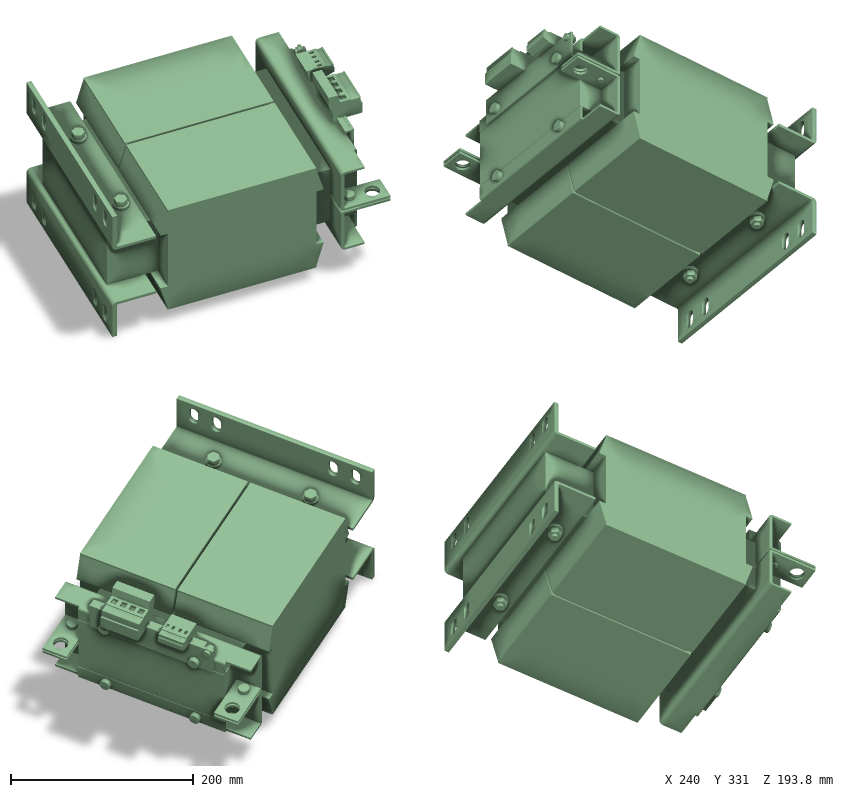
import cadquery as cq


CORE_HALF_WIDTH = 90.0
CORE_HALF_HEIGHT = 38.7
CORE_FRONT = 6.3
CORE_REAR = 304.2
YOKE_DEPTH = 60.5
REAR_YOKE_FRONT = 245.0
REAR_YOKE_INSET = 0.5
LEG_WIDTH = 60.2
COIL_FRONT = CORE_FRONT + YOKE_DEPTH
COIL_HALF_WIDTH = 118.2
COIL_HALF_HEIGHT = 73.0
COIL_GAP = 3.0
COIL_FLARE = 8.5
COIL_REAR = 243.5
FLARE_TOP = 70.5
FLARE_EDGE = 1.3

BRACKET_WIDTH = 240.0
ANGLE_HALF_HEIGHT = 88.5
ANGLE_UPRIGHT = 5.5
ANGLE_FLANGE = 3.5
ANGLE_DEPTH = 52.0
ANGLE_BEND_RADIUS = 5.0
ANGLE_INNER_RADIUS = ANGLE_BEND_RADIUS - ANGLE_FLANGE
SLOT_LENGTH = 23.0
SLOT_WIDTH = 11.5
SLOT_HEIGHT = 70.0
SLOT_PLACES = (-99.3, -71.5, 71.5, 99.3)

BOLT_X = 59.5
BOLT_Y = 35.7
WASHER_DIAMETER = 18.0
WASHER_THICKNESS = 4.0
HEX_WIDTH = 15.0
HEX_HEIGHT = 7.0
STUD_DIAMETER = 7.5
STUD_TIP = 3.5

SHEET = 3.0
WEB_FRONT = 272.5
WEB_THICKNESS = 3.5
CHANNEL_TOP = 57.0
CHANNEL_REAR = 300.2
CHANNEL_BEND_RADIUS = 5.0
LIP_BEND_RADIUS = 2.5
EAR_BEND_RADIUS = 3.3
EAR_REAR = 331.0
EAR_WIDTH = 29.5
EAR_CLEARANCE = 0.83
EAR_HOLE_DIAMETER = 17.0
EAR_HOLE_Y = 315.8
EAR_X = (BRACKET_WIDTH - EAR_WIDTH) / 2
EAR_BOLT_Y = 288.0

SCREW_HEAD_DIAMETER = 12.2
SCREW_HEAD_HEIGHT = 5.5
SCREW_DIAMETER = 6.3
SCREW_LENGTH = 11.3
EAR_BOLT_LENGTH = 10.3
LIP_SCREW_X = 55.0
LIP_SCREW_Z = 47.0

PLATE_THICKNESS = 3.0
PLATE_LEFT = -76.8
PLATE_TOP = 72.8
RAIL_LEFT = -65.0
RAIL_RIGHT = 74.5
RAIL_TOP = 72.0
RAIL_THICKNESS = 2.3
RAIL_BOTTOM = RAIL_TOP - RAIL_THICKNESS
RAIL_FRONT = 296.5
EARTH_SCREW_X = -70.5
EARTH_SCREW_Z = 68.2
EARTH_NUT_DIAMETER = 11.0
EARTH_HEAD_DIAMETER = 8.3
EARTH_HEAD_REAR = 310.5
EARTH_NUT_FRONT = 301.2
EARTH_TIP = 298.2

POCKET_DEPTH = 3.3
POCKET_Y = 306.5
SMALL_LEFT = -48.0
SMALL_RIGHT = -17.5
SMALL_DECK = 87.5
SMALL_POCKET = (3.3, 5.3)
SMALL_POCKET_PLACES = (-43.7, -36.5, -28.0, -21.2)
SMALL_OUTLINE = [
    (314.5, RAIL_TOP),
    (322.7, 75.5),
    (322.7, 82.0),
    (321.7, 83.5),
    (321.7, SMALL_DECK),
    (319.7, SMALL_DECK),
    (319.7, 86.0),
    (313.8, 86.0),
    (313.8, SMALL_DECK),
    (289.3, SMALL_DECK),
    (293.0, 76.0),
    (293.0, RAIL_BOTTOM),
    (RAIL_FRONT, RAIL_BOTTOM),
    (RAIL_FRONT, RAIL_TOP),
]
LARGE_LEFT = 5.0
LARGE_RIGHT = 50.5
LARGE_DECK = 94.5
LARGE_TOP = 105.3
LARGE_FOOT = 69.0
LARGE_POCKET = (6.5, 7.3)
LARGE_POCKET_PLACES = (11.3, 22.0, 32.8, 44.0)
LARGE_OUTLINE = [
    (327.0, RAIL_BOTTOM),
    (327.0, 85.5),
    (325.0, 85.5),
    (325.0, LARGE_DECK),
    (323.0, 93.0),
    (313.8, 93.0),
    (313.8, LARGE_DECK),
    (300.5, LARGE_DECK),
    (298.2, LARGE_TOP),
    (287.0, LARGE_TOP),
    (287.0, LARGE_DECK),
    (287.5, 90.7),
    (292.0, 79.0),
    (292.0, LARGE_FOOT),
    (298.5, LARGE_FOOT),
    (298.5, RAIL_BOTTOM),
]


def box(x0, x1, y0, y1, z0, z1):
    """Box between two opposite corners."""
    return cq.Workplane("XY").box(x1 - x0, y1 - y0, z1 - z0, centered=False).translate((x0, y0, z0))


def extrude_yz(points, x0, x1):
    """Outline in the YZ plane carried from x0 to x1."""
    return cq.Workplane("YZ").workplane(offset=x0).polyline(points).close().extrude(x1 - x0)


def rod_z(x, y, z0, z1, diameter):
    """Upright cylinder."""
    return cq.Workplane("XY").workplane(offset=z0).center(x, y).circle(diameter / 2).extrude(z1 - z0)


def rod_y(x, z, y0, y1, diameter):
    """Cylinder lying along Y."""
    base = cq.Workplane("XZ", origin=(x, y0, z))
    return base.circle(diameter / 2).extrude(y0 - y1)


def mirrored(shape, plane):
    """Shape joined with its mirror image."""
    return shape.union(shape.mirror(plane))


def core():
    """Front yoke and two legs, closed at the back by a slightly smaller yoke."""
    yoke_front = box(-CORE_HALF_WIDTH, CORE_HALF_WIDTH, CORE_FRONT, COIL_FRONT,
                     -CORE_HALF_HEIGHT, CORE_HALF_HEIGHT)
    leg = box(CORE_HALF_WIDTH - LEG_WIDTH, CORE_HALF_WIDTH, COIL_FRONT, REAR_YOKE_FRONT,
              -CORE_HALF_HEIGHT, CORE_HALF_HEIGHT)
    rear_half_width = CORE_HALF_WIDTH - REAR_YOKE_INSET
    rear_half_height = CORE_HALF_HEIGHT - REAR_YOKE_INSET
    yoke_rear = box(-rear_half_width, rear_half_width, REAR_YOKE_FRONT, CORE_REAR,
                    -rear_half_height, rear_half_height)
    return yoke_front.union(mirrored(leg, "YZ")).union(yoke_rear)


def coils():
    """Two blocks whose ends flare out above and below the yokes."""
    body = box(COIL_GAP / 2, COIL_HALF_WIDTH, COIL_FRONT, COIL_REAR,
               -COIL_HALF_HEIGHT, COIL_HALF_HEIGHT)
    flared_end = extrude_yz(
        [
            (COIL_FRONT, FLARE_TOP),
            (COIL_FRONT - COIL_FLARE, CORE_HALF_HEIGHT + FLARE_EDGE),
            (COIL_FRONT - COIL_FLARE, CORE_HALF_HEIGHT),
            (COIL_REAR + COIL_FLARE, CORE_HALF_HEIGHT),
            (COIL_REAR + COIL_FLARE, CORE_HALF_HEIGHT + FLARE_EDGE),
            (COIL_REAR, FLARE_TOP),
        ],
        COIL_GAP / 2, COIL_HALF_WIDTH,
    )
    return mirrored(body.union(mirrored(flared_end, "XY")), "YZ")


def front_angle():
    """Upper angle with its slotted upright against the mounting face."""
    half = BRACKET_WIDTH / 2
    z0 = CORE_HALF_HEIGHT
    flange = box(-half, half, 0, ANGLE_DEPTH, z0, z0 + ANGLE_FLANGE)
    upright = box(-half, half, 0, ANGLE_UPRIGHT, z0, ANGLE_HALF_HEIGHT)
    angle = flange.union(upright)
    inner_corner = cq.selectors.NearestToPointSelector((0, ANGLE_UPRIGHT, z0 + ANGLE_FLANGE))
    angle = angle.edges("|X").edges(inner_corner).fillet(ANGLE_INNER_RADIUS)
    angle = angle.edges("|X").edges("<Y and <Z").fillet(ANGLE_BEND_RADIUS)
    slots = (
        cq.Workplane("XZ")
        .pushPoints([(x, SLOT_HEIGHT) for x in SLOT_PLACES])
        .slot2D(SLOT_LENGTH, SLOT_WIDTH, 90)
        .extrude(-ANGLE_UPRIGHT)
    )
    return angle.cut(slots)


def clamping_bolt():
    """Bolt through core and both angles, with a washer and a hexagon at each end."""
    seat = CORE_HALF_HEIGHT + ANGLE_FLANGE
    head_base = seat + WASHER_THICKNESS
    head_top = head_base + HEX_HEIGHT
    washers = mirrored(rod_z(BOLT_X, BOLT_Y, seat, head_base, WASHER_DIAMETER), "XY")
    head = (
        cq.Workplane("XY", origin=(BOLT_X, BOLT_Y, head_base))
        .polygon(6, HEX_WIDTH)
        .extrude(HEX_HEIGHT)
    )
    shank = rod_z(BOLT_X, BOLT_Y, -head_top - STUD_TIP, head_top, STUD_DIAMETER)
    return washers.union(mirrored(head, "XY")).union(shank)


def rear_bracket():
    """Upper sheet channel with two drilled ears and a rear lip between them."""
    half = BRACKET_WIDTH / 2
    ear_inner = half - EAR_WIDTH
    web = box(-half, half, WEB_FRONT, WEB_FRONT + WEB_THICKNESS, EAR_CLEARANCE, CHANNEL_TOP)
    top = box(-half, half, WEB_FRONT, CHANNEL_REAR, CHANNEL_TOP - SHEET, CHANNEL_TOP)
    ears = mirrored(
        box(ear_inner, half, WEB_FRONT, EAR_REAR, EAR_CLEARANCE, EAR_CLEARANCE + SHEET), "YZ"
    )
    channel = web.union(top).union(ears)
    channel = channel.edges("|X").edges("<Y and >Z").fillet(CHANNEL_BEND_RADIUS)
    channel = channel.edges("|X").edges("<Y and <Z").fillet(EAR_BEND_RADIUS)
    for x in (-EAR_X, EAR_X):
        channel = channel.cut(rod_z(x, EAR_HOLE_Y, 0, CHANNEL_TOP - SHEET, EAR_HOLE_DIAMETER))
    fold = box(-CORE_HALF_WIDTH, CORE_HALF_WIDTH, CHANNEL_REAR - SHEET, CORE_REAR,
               CHANNEL_TOP - SHEET, CHANNEL_TOP)
    lip = box(-CORE_HALF_WIDTH, CORE_HALF_WIDTH, CORE_REAR - SHEET, CORE_REAR,
              CORE_HALF_HEIGHT, CHANNEL_TOP)
    folded_lip = fold.union(lip).edges("|X").edges(">Y and >Z").fillet(LIP_BEND_RADIUS)
    return channel.union(folded_lip)


def lip_screw(x, z, seat):
    """Screw lying along Y, its head resting on the face at Y = seat."""
    head = rod_y(x, z, seat, seat + SCREW_HEAD_HEIGHT, SCREW_HEAD_DIAMETER)
    return head.union(rod_y(x, z, seat - SCREW_LENGTH, seat, SCREW_DIAMETER))


def ear_bolt(x):
    """Upright bolt holding the upper and lower ears together."""
    seat = EAR_CLEARANCE + SHEET
    head = rod_z(x, EAR_BOLT_Y, seat, seat + SCREW_HEAD_HEIGHT, SCREW_HEAD_DIAMETER)
    return head.union(rod_z(x, EAR_BOLT_Y, seat - EAR_BOLT_LENGTH, seat, SCREW_DIAMETER))


def terminal_plate():
    """Upright plate with a folded rail on top and an earth screw at its left end."""
    rear = CORE_REAR + PLATE_THICKNESS
    plate = box(PLATE_LEFT, RAIL_RIGHT, CORE_REAR, rear, CORE_HALF_HEIGHT, PLATE_TOP)
    rail = box(RAIL_LEFT, RAIL_RIGHT, RAIL_FRONT, rear, RAIL_BOTTOM, RAIL_TOP)
    nut = rod_y(EARTH_SCREW_X, EARTH_SCREW_Z, EARTH_NUT_FRONT, rear, EARTH_NUT_DIAMETER)
    screw = rod_y(EARTH_SCREW_X, EARTH_SCREW_Z, EARTH_TIP, EARTH_HEAD_REAR, EARTH_HEAD_DIAMETER)
    return plate.union(rail).union(nut).union(screw)


def terminal(outline, x0, x1, deck, pocket_size, pocket_places):
    """Terminal block with a row of wire entries sunk into its deck."""
    block = extrude_yz(outline, x0, x1)
    pockets = (
        cq.Workplane("XY", origin=(0, POCKET_Y, deck))
        .pushPoints([(x, 0) for x in pocket_places])
        .rect(*pocket_size)
        .extrude(-POCKET_DEPTH)
    )
    return block.cut(pockets)


result = core().union(coils())
result = result.union(mirrored(front_angle(), "XY"))
result = result.union(mirrored(clamping_bolt(), "YZ"))
result = result.union(mirrored(rear_bracket(), "XY"))
for side in (-1, 1):
    result = result.union(lip_screw(side * LIP_SCREW_X, LIP_SCREW_Z, CORE_REAR + PLATE_THICKNESS))
    result = result.union(lip_screw(side * LIP_SCREW_X, -LIP_SCREW_Z, CORE_REAR))
    result = result.union(ear_bolt(side * EAR_X))
result = result.union(terminal_plate())
result = result.union(
    terminal(SMALL_OUTLINE, SMALL_LEFT, SMALL_RIGHT, SMALL_DECK, SMALL_POCKET, SMALL_POCKET_PLACES)
)
result = result.union(
    terminal(LARGE_OUTLINE, LARGE_LEFT, LARGE_RIGHT, LARGE_DECK, LARGE_POCKET, LARGE_POCKET_PLACES)
)